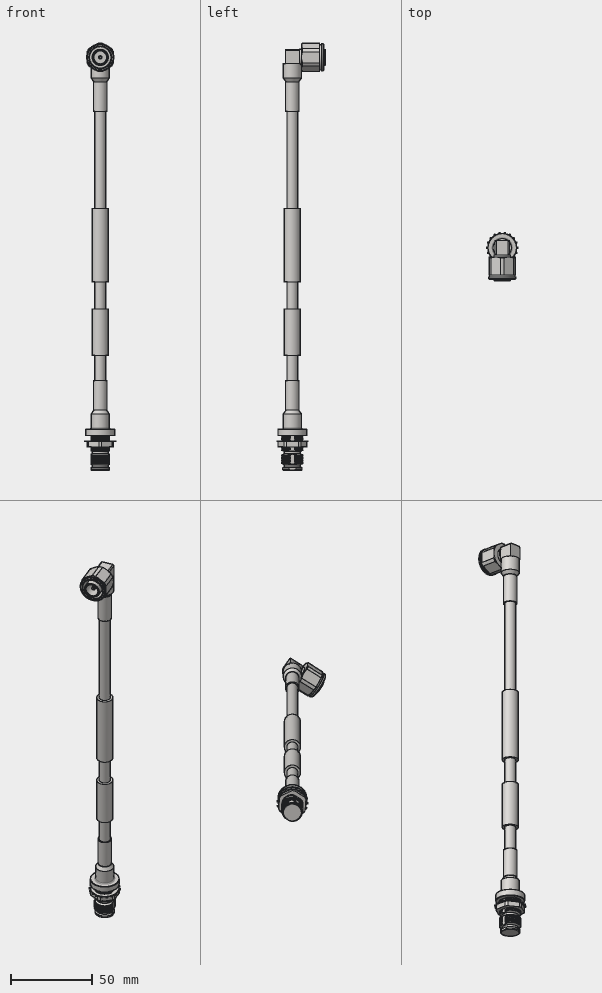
import cadquery as cq
import math


overall_height = 262.5

cable_radius = 3.5
boot_radius = 4.2
boot_length = 18.0
sleeve_radius = 5.0
sleeve_spans = [(115.8, 161.0), (70.6, 99.3)]

barrel_radius = 11.3 / 2
cone_tip_radius = 4.0
cone_height = 2.4

flange_radius = 9.0
flange_bottom = 21.3
flange_thickness = 4.2
flange_chamfer = 0.3
barrel_base_fillet = 0.5
jack_barrel_height = 9.2
thread_radius = 6.5
thread_depth = 0.8
thread_pitch = 0.8
thread_across_flats = 11.3
upper_thread_bottom = 12.3
lower_thread_top = 9.5
lower_thread_bottom = 4.2
thread_runout = 0.8
groove_radius = 5.0
tip_radius = 6.0
tip_height = 2.0
tip_chamfer = 0.5
flange_top = flange_bottom + flange_thickness
jack_barrel_top = flange_top + jack_barrel_height
jack_end = jack_barrel_top + cone_height

panel_nut_flats = 16.3
panel_nut_bottom = 14.5
panel_nut_height = 3.2
washer_thickness = 0.5
washer_radius = 8.7
washer_tip_diameter = 19.2
tooth_count = 18
tooth_width = 0.8
panel_nut_top = panel_nut_bottom + panel_nut_height
washer_top = panel_nut_top + washer_thickness

coupling_corner_radius = 17.5 / 2
plug_axis_height = overall_height - coupling_corner_radius
block_side = 8.7
block_top = 258.6
block_chamfer = 0.8
elbow_barrel_bottom = 241.0
elbow_barrel_top = 250.0
elbow_end = elbow_barrel_bottom - cone_height
contact_tube_radius = 5.0
contact_tube_bore = 4.0
contact_tube_end = 20.5
contact_tube_chamfer = 0.4
contact_floor = 11.8
pin_radius = 1.0
pin_end = 18.5
pin_chamfer = 0.4

coupling_flats = 16.3
coupling_back = 5.8
coupling_hex_end = 16.8
coupling_rim_start = 17.9
coupling_end = 19.5
coupling_neck_radius = 8.0
coupling_rim_radius = 8.5
coupling_bore = 6.5
coupling_wall = 1.8
coupling_chamfer = 0.5


def cylinder(radius, bottom, top):
    return cq.Workplane("XY").workplane(offset=bottom).circle(radius).extrude(top - bottom)


def plug_cylinder(radius, start, end):
    """Cylinder on the plug axis between two distances toward -Y."""
    plane = cq.Workplane("XZ", origin=(0, -start, plug_axis_height))
    return plane.circle(radius).extrude(end - start)


def revolved(profile):
    """Solid of revolution about Z from (radius, height) points."""
    return cq.Workplane("XZ").polyline(profile).close().revolve(360, (0, 0), (0, 1))


def hexagon(plane, flats):
    """Hexagon with flats facing +X and -X."""
    corner = flats / math.sqrt(3)
    angles = [math.radians(30 + 60 * i) for i in range(6)]
    return plane.polyline([(corner * math.cos(a), corner * math.sin(a)) for a in angles]).close()


def thread_points(top, bottom):
    """Outline of ring-shaped thread ridges, listed downward from the first crest to the last."""
    ridge_count = round((top - bottom) / thread_pitch)
    step = (top - bottom) / ridge_count
    points = [(thread_radius, top)]
    for i in range(ridge_count):
        points.append((thread_radius - thread_depth, top - (i + 0.5) * step))
        points.append((thread_radius, top - (i + 1) * step))
    return points


def make_cable():
    return cylinder(cable_radius, jack_end, elbow_end)


def make_tube_on_cable(radius, bottom, top):
    return cylinder(radius, bottom, top).cut(cylinder(cable_radius, bottom, top))


def make_panel_nut():
    plane = cq.Workplane("XY").workplane(offset=panel_nut_bottom)
    nut = hexagon(plane, panel_nut_flats).extrude(panel_nut_height)
    nut = nut.intersect(cylinder(flange_radius, panel_nut_bottom, panel_nut_top))
    return nut.cut(cylinder(barrel_radius, panel_nut_bottom, panel_nut_top))


def make_lock_washer():
    washer = cylinder(washer_radius, panel_nut_top, washer_top)
    tooth_plane = cq.Workplane("XY").workplane(offset=panel_nut_top)
    tooth_pair = tooth_plane.rect(washer_tip_diameter, tooth_width).extrude(washer_thickness)
    for i in range(tooth_count // 2):
        washer = washer.union(tooth_pair.rotate((0, 0, 0), (0, 0, 1), i * 360 / tooth_count))
    return washer.cut(cylinder(barrel_radius, panel_nut_top, washer_top))


def make_threaded_end():
    """Everything below the flange: two threads and the tip, with flats at +X and -X."""
    profile = [
        (0, flange_bottom),
        *thread_points(flange_bottom, upper_thread_bottom),
        (groove_radius, upper_thread_bottom - thread_runout),
        (groove_radius, lower_thread_top + thread_runout),
        *thread_points(lower_thread_top, lower_thread_bottom),
        (groove_radius, lower_thread_bottom - thread_runout),
        (groove_radius, tip_height),
        (tip_radius, tip_height - tip_chamfer),
        (tip_radius, tip_chamfer),
        (tip_radius - tip_chamfer, 0),
        (0, 0),
    ]
    between_flats = cq.Workplane("XY").rect(thread_across_flats, 2 * thread_radius)
    return revolved(profile).intersect(between_flats.extrude(flange_bottom))


def make_jack():
    flange = cylinder(flange_radius, flange_bottom, flange_top).edges().chamfer(flange_chamfer)
    barrel = cylinder(barrel_radius, flange_top, jack_barrel_top)
    cone = revolved([
        (0, jack_barrel_top),
        (barrel_radius, jack_barrel_top),
        (cone_tip_radius, jack_end),
        (0, jack_end),
    ])
    barrel_base = cq.selectors.NearestToPointSelector((0, 0, flange_top))
    smallest_circle = cq.selectors.RadiusNthSelector(0)
    upper = flange.union(barrel).faces(barrel_base).edges(smallest_circle).fillet(barrel_base_fillet)
    jack = upper.union(cone).union(make_threaded_end())
    return jack.union(make_panel_nut()).union(make_lock_washer())


def make_elbow():
    barrel = revolved([
        (0, elbow_end),
        (cone_tip_radius, elbow_end),
        (barrel_radius, elbow_barrel_bottom),
        (barrel_radius, elbow_barrel_top),
        (0, elbow_barrel_top),
    ])
    block = cq.Workplane("XY").workplane(offset=elbow_barrel_top).rect(block_side, block_side)
    block = block.extrude(block_top - elbow_barrel_top)
    block = block.faces(">Z").edges("|Y").chamfer(block_chamfer)
    contact_tube = plug_cylinder(contact_tube_radius, block_side / 2, contact_tube_end)
    contact_tube = contact_tube.cut(plug_cylinder(contact_tube_bore, contact_floor, contact_tube_end))
    contact_tube = contact_tube.faces("<Y").edges().chamfer(contact_tube_chamfer)
    pin = plug_cylinder(pin_radius, contact_floor, pin_end).faces("<Y").chamfer(pin_chamfer)
    return barrel.union(block).union(contact_tube).union(pin)


def make_coupling_nut():
    plane = cq.Workplane("XZ", origin=(0, -coupling_back, plug_axis_height))
    hex_part = hexagon(plane, coupling_flats).extrude(coupling_hex_end - coupling_back)
    envelope = plug_cylinder(coupling_corner_radius, coupling_back, coupling_hex_end)
    nut = hex_part.intersect(envelope.faces(">Y").chamfer(coupling_chamfer))
    nut = nut.union(plug_cylinder(coupling_neck_radius, coupling_hex_end, coupling_rim_start))
    nut = nut.union(plug_cylinder(coupling_rim_radius, coupling_rim_start, coupling_end))
    nut = nut.cut(plug_cylinder(contact_tube_radius, coupling_back, coupling_end))
    nut = nut.cut(plug_cylinder(coupling_bore, coupling_back + coupling_wall, coupling_end))
    return nut.faces("<Y").edges().chamfer(coupling_chamfer)


cable = make_cable()
boot_bottoms = [jack_end, elbow_end - boot_length]
boots = [make_tube_on_cable(boot_radius, bottom, bottom + boot_length) for bottom in boot_bottoms]
marker_sleeves = [make_tube_on_cable(sleeve_radius, bottom, top) for bottom, top in sleeve_spans]
jack = make_jack()
elbow = make_elbow()
coupling_nut = make_coupling_nut()

result = cq.Compound.makeCompound([
    cable.val(),
    *[boot.val() for boot in boots],
    *[sleeve.val() for sleeve in marker_sleeves],
    jack.val(),
    elbow.val(),
    coupling_nut.val(),
])